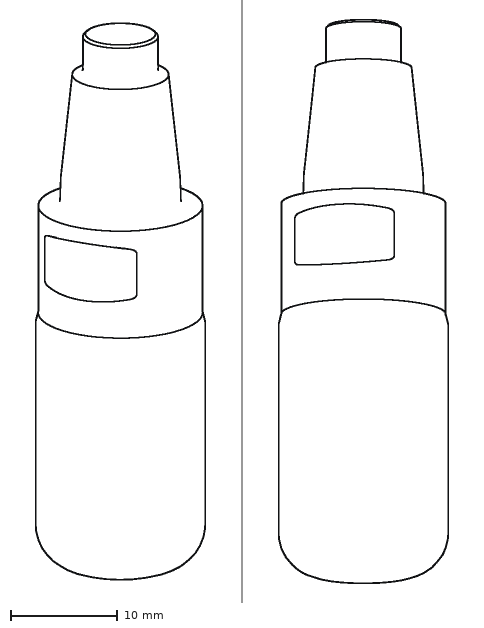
import cadquery as cq
import math

handle_top = 25.0
collar_top = 35.6
cone_bottom = 38.4
cone_top = 48.6
total_height = 52.6

handle_radius = 8.0
bottom_round = 4.0
lead_in_height = 1.0
collar_radius = 7.75

stem_base_radius = 5.72
cone_bottom_radius = 5.63
cone_top_radius = 4.55
tip_radius = 3.55
tip_chamfer = 0.25
root_fillet = 0.5

flat_distance = 6.0
slot_center_height = 31.3
slot_mouth_width = 5.7
slot_wall_angle = 15.0
slot_corner_fillet = 0.5
slot_overcut = 1.0


def make_handle():
    """Solid of revolution from the rounded bottom up to the collar joint."""
    arc_middle = bottom_round * math.sin(math.radians(45))
    round_center_radius = handle_radius - bottom_round
    return (
        cq.Workplane("XZ")
        .moveTo(0, 0)
        .lineTo(round_center_radius, 0)
        .threePointArc(
            (round_center_radius + arc_middle, bottom_round - arc_middle),
            (handle_radius, bottom_round),
        )
        .lineTo(handle_radius, handle_top - lead_in_height)
        .lineTo(collar_radius, handle_top)
        .lineTo(0, handle_top)
        .close()
        .revolve(360, (0, 0, 0), (0, 1, 0))
    )


def make_root_selector(radius, height):
    """Thin box that encloses only the circular edge where a step meets its shoulder."""
    margin = 0.05
    reach = radius + margin
    return cq.selectors.BoxSelector(
        (-reach, -reach, height - margin), (reach, reach, height + margin), boundingbox=True
    )


def make_stem_blank():
    """Turned stem with a fillet at the root of the base and of the tip."""
    blank = (
        cq.Workplane("XZ")
        .moveTo(0, handle_top)
        .lineTo(collar_radius, handle_top)
        .lineTo(collar_radius, collar_top)
        .lineTo(stem_base_radius, collar_top)
        .lineTo(cone_bottom_radius, cone_bottom)
        .lineTo(cone_top_radius, cone_top)
        .lineTo(tip_radius, cone_top)
        .lineTo(tip_radius, total_height)
        .lineTo(0, total_height)
        .close()
        .revolve(360, (0, 0, 0), (0, 1, 0))
    )
    blank = blank.faces(">Z").edges().chamfer(tip_chamfer)
    for radius, height in ((stem_base_radius, collar_top), (tip_radius, cone_top)):
        blank = blank.edges(make_root_selector(radius, height)).fillet(root_fillet)
    return blank


def make_slot_cutter(side):
    """Trapezoidal bar along X that leaves a flat on the +Y (side=1) or -Y (side=-1) face."""
    wall_slope = math.tan(math.radians(slot_wall_angle))
    floor_half = slot_mouth_width / 2 - (collar_radius - flat_distance) * wall_slope
    outer_distance = collar_radius + slot_overcut
    outer_half = floor_half + (outer_distance - flat_distance) * wall_slope
    floor_face = "<Y" if side > 0 else ">Y"
    return (
        cq.Workplane("YZ")
        .polyline(
            [
                (side * flat_distance, slot_center_height - floor_half),
                (side * outer_distance, slot_center_height - outer_half),
                (side * outer_distance, slot_center_height + outer_half),
                (side * flat_distance, slot_center_height + floor_half),
            ]
        )
        .close()
        .extrude(collar_radius + slot_overcut, both=True)
        .faces(floor_face)
        .edges("|X")
        .fillet(slot_corner_fillet)
    )


def make_stem():
    """Stem blank with its two wrench slots."""
    stem = make_stem_blank()
    for side in (-1, 1):
        stem = stem.cut(make_slot_cutter(side))
    return stem


handle = make_handle()
stem = make_stem()

result = cq.Compound.makeCompound([handle.val(), stem.solids().val()])